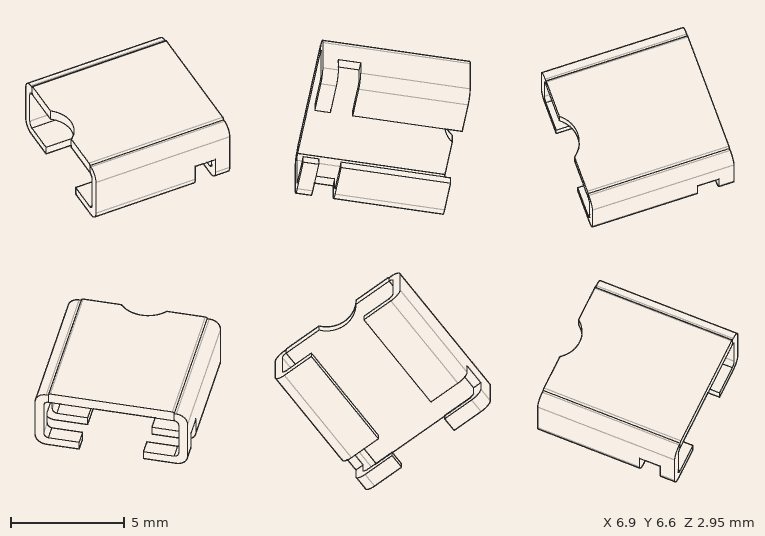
import cadquery as cq

width = 6.9
length = 6.6
height = 2.95

plate_thickness = 0.5
plate_inset = 0.61
plate_step = 0.08
plate_edge_radius = plate_step
notch_half_width = 1.02
notch_depth = 0.5

sheet = 0.4
outer_radius = 0.51
inner_radius = 0.24
lip_reach = 2.0

slot_width = 1.0
slot_height = 1.27
slot_from_back = 0.7

half_width = width / 2
half_length = length / 2
plate_half_width = half_width - plate_inset
channel_height = height - plate_step


def make_cover_plate():
    """Flat plate with rounded long top edges and an arc notch in its front edge."""
    plate = (
        cq.Workplane("XY", origin=(0, 0, height - plate_thickness))
        .moveTo(-plate_half_width, -half_length)
        .lineTo(-notch_half_width, -half_length)
        .threePointArc((0, notch_depth - half_length), (notch_half_width, -half_length))
        .lineTo(plate_half_width, -half_length)
        .lineTo(plate_half_width, half_length)
        .lineTo(-plate_half_width, half_length)
        .close()
        .extrude(plate_thickness)
    )
    return plate.faces(">Z").edges("|Y").fillet(plate_edge_radius)


def rounded_bar(x_min, x_max, z_min, z_max, radius):
    """Full-length bar with rounded edges on its -X side."""
    return (
        cq.Workplane("XY")
        .box(x_max - x_min, length, z_max - z_min, centered=(False, True, False))
        .translate((x_min, 0, z_min))
        .edges("|Y and <X")
        .fillet(radius)
    )


def make_left_channel():
    """C-shaped channel: side wall, short upper flange against the plate, longer lower lip."""
    lip_end = lip_reach - half_width
    outer = rounded_bar(-half_width, lip_end, 0, channel_height, outer_radius)
    cavity = rounded_bar(sheet - half_width, lip_end, sheet, channel_height - sheet, inner_radius)
    plate_space = (
        cq.Workplane("XY")
        .box(lip_reach - plate_inset, length, channel_height - sheet, centered=(False, True, False))
        .translate((-plate_half_width, 0, sheet))
    )
    slot = (
        cq.Workplane("XY")
        .box(lip_reach, slot_width, slot_height, centered=(False, False, False))
        .translate((-half_width, half_length - slot_from_back - slot_width, 0))
    )
    return outer.cut(cavity).cut(plate_space).cut(slot)


cover_plate = make_cover_plate()
left_channel = make_left_channel()
right_channel = left_channel.mirror("YZ")

result = cq.Compound.makeCompound([cover_plate.val(), left_channel.val(), right_channel.val()])